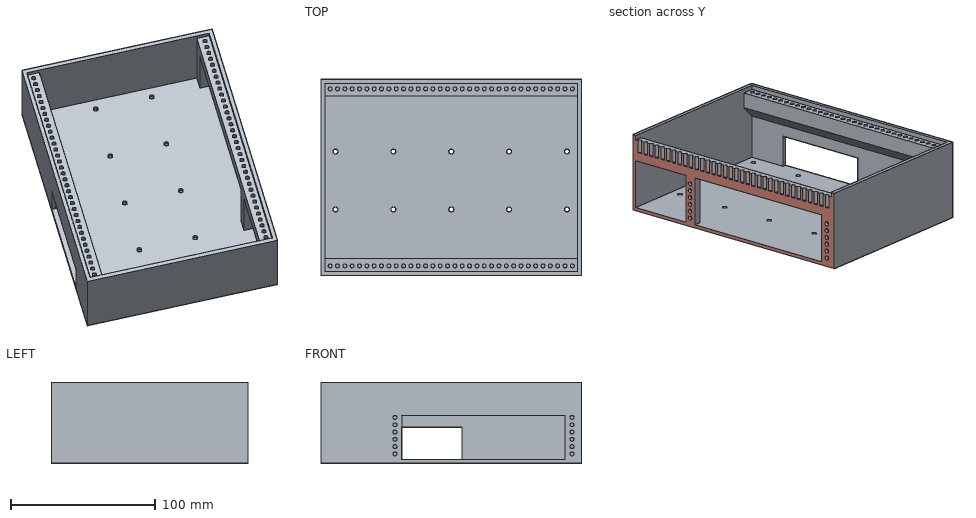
import cadquery as cq

length = 180.5
width = 136.0
height = 56.0
wall = 2.9
floor = 2.7

rail_depth = 8.8
rail_height = 10.8
rail_drop = 3.0
small_hole = 2.7
hole_depth = 9.0
rail_hole_count = 34
rail_count = 2
rail_hole_span = 167.6
rail_row_spacing = 122.5

opening_left = 56.1
opening_length = 112.8
opening_height = 30.3
column_length = 8.7
panel_hole_offset = 4.9
panel_hole_count = 6
panel_hole_columns = 2
panel_hole_pitch = 5.0
panel_hole_bottom = 6.5

window_left = 30.7
window_right = 97.6
window_height = 22.2

floor_hole = 3.2
floor_hole_pitch = 40.0
floor_columns = 5
floor_rows = 3
floor_back_margin = 10.1

cavity_length = length - 2 * wall
opening_right = opening_left + opening_length
mount_depth = wall + rail_depth
rail_top = height - rail_drop
rail_bottom = rail_top - rail_height


def block(x_start, x_end, y_start, y_end, z_start, z_end):
    """Box between two opposite corners."""
    size = (x_end - x_start, y_end - y_start, z_end - z_start)
    return cq.Workplane().box(*size, centered=False).translate((x_start, y_start, z_start))


def front_rail():
    """Rail with a 45 degree underside that needs no support."""
    return (
        cq.Workplane("YZ", origin=(wall, 0, 0))
        .moveTo(wall, rail_top)
        .lineTo(mount_depth, rail_top)
        .lineTo(mount_depth, rail_bottom)
        .lineTo(wall, rail_bottom - rail_depth)
        .close()
        .extrude(cavity_length)
    )


def rail_holes():
    return (
        cq.Workplane(origin=(length / 2, width / 2, rail_top))
        .rarray(rail_hole_span / (rail_hole_count - 1), rail_row_spacing, rail_hole_count, rail_count)
        .circle(small_hole / 2)
        .extrude(-hole_depth)
    )


def panel_columns():
    """Columns beside the opening, rising into the sloped underside of the front rail."""
    left = block(opening_left - column_length, opening_left, wall, mount_depth, floor, rail_bottom)
    right = block(opening_right, length - wall, wall, mount_depth, floor, rail_bottom)
    return left.union(right)


def panel_holes():
    centre_z = panel_hole_bottom + (panel_hole_count - 1) * panel_hole_pitch / 2
    column_spacing = opening_length + 2 * panel_hole_offset
    return (
        cq.Workplane("XZ", origin=(opening_left + opening_length / 2, 0, centre_z))
        .rarray(column_spacing, panel_hole_pitch, panel_hole_columns, panel_hole_count)
        .circle(small_hole / 2)
        .extrude(-hole_depth)
    )


def floor_holes():
    """Grid of through holes set out from the back wall; the last row lies under the back rail."""
    centre_y = width - floor_back_margin - (floor_rows - 1) * floor_hole_pitch / 2
    return (
        cq.Workplane(origin=(length / 2, centre_y, 0))
        .rarray(floor_hole_pitch, floor_hole_pitch, floor_columns, floor_rows)
        .circle(floor_hole / 2)
        .extrude(floor)
    )


shell = block(0, length, 0, width, 0, height).cut(
    block(wall, length - wall, wall, width - wall, floor, height)
)
rail = front_rail()
back_rail = rail.mirror("XZ", (0, width / 2, 0))
opening = block(opening_left, opening_right, 0, mount_depth, floor, floor + opening_height)
window = block(window_left, window_right, width - wall, width, floor, floor + window_height)

result = (
    shell.union(rail)
    .union(back_rail)
    .union(panel_columns())
    .cut(opening)
    .cut(window)
    .cut(rail_holes())
    .cut(panel_holes())
    .cut(floor_holes())
)